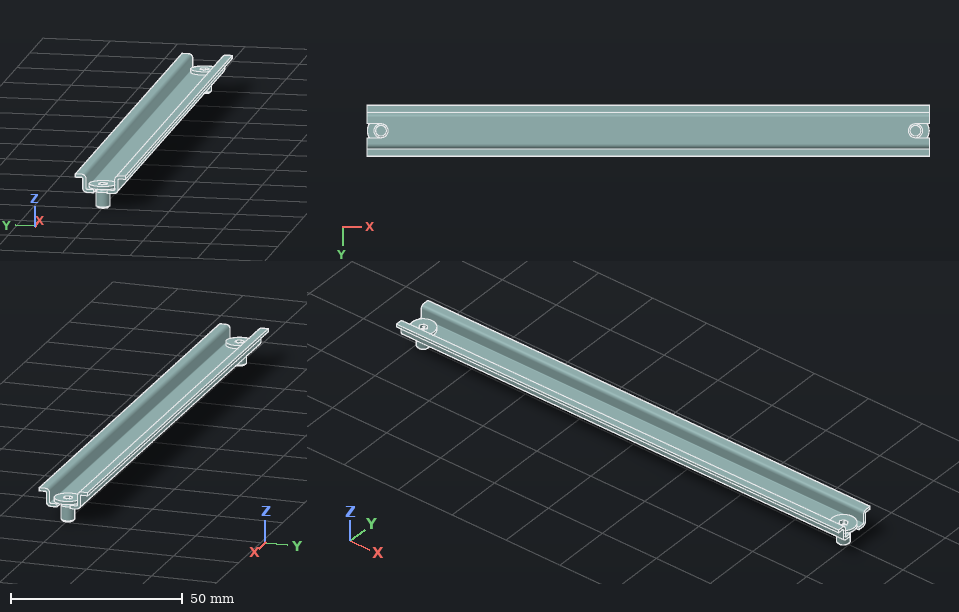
import cadquery as cq

rail_length = 164.0
rail_width = 15.0
rail_height = 5.4
sheet = 1.0
channel_width = 10.5
bend_inner_radius = 0.3
bend_outer_radius = bend_inner_radius + sheet

screw_inset = 4.1
head_diameter = 8.0
head_thickness = 1.0
thread_diameter = 4.1
neck_diameter = 3.3
neck_length = 0.5
screw_length = 6.0
neck_taper_length = 0.8
tip_chamfer = 0.5
socket_across_corners = 2.8
socket_depth = 1.5

half_length = rail_length / 2
screw_x = half_length - screw_inset
slot_width = thread_diameter


def make_profile():
    """Half section of the sheet, from the middle of the floor to the flange edge."""
    outer_wall = channel_width / 2
    inner_wall = outer_wall - sheet
    flange_edge = rail_width / 2
    flange_bottom = rail_height - sheet
    lower_center = (outer_wall - bend_outer_radius, bend_outer_radius)
    upper_center = (inner_wall + bend_outer_radius, rail_height - bend_outer_radius)
    return (
        cq.Workplane("YZ", origin=(-half_length, 0, 0))
        .moveTo(0, 0)
        .lineTo(lower_center[0], 0)
        .radiusArc((outer_wall, lower_center[1]), -bend_outer_radius)
        .lineTo(outer_wall, upper_center[1])
        .radiusArc((upper_center[0], flange_bottom), bend_inner_radius)
        .lineTo(flange_edge, flange_bottom)
        .lineTo(flange_edge, rail_height)
        .lineTo(upper_center[0], rail_height)
        .radiusArc((inner_wall, upper_center[1]), -bend_outer_radius)
        .lineTo(inner_wall, lower_center[1])
        .radiusArc((lower_center[0], sheet), bend_inner_radius)
        .lineTo(0, sheet)
        .close()
    )


def make_end_slot(side):
    """Cutter for a round-bottomed slot, open at the end of the rail on the given side."""
    round_end = cq.Workplane("XY").center(side * screw_x, 0).circle(slot_width / 2).extrude(sheet)
    mouth = (
        cq.Workplane("XY")
        .center(side * (screw_x + screw_inset / 2), 0)
        .rect(screw_inset, slot_width)
        .extrude(sheet)
    )
    return round_end.union(mouth)


def make_rail():
    half_rail = make_profile().extrude(rail_length)
    rail = half_rail.union(half_rail.mirror("XZ"))
    for side in (-1, 1):
        rail = rail.cut(make_end_slot(side))
    return rail


def make_screw(x):
    """Screw at the given X, with its head resting on the rail floor."""
    head_top = sheet + head_thickness
    neck_bottom = sheet - neck_length
    tip = sheet - screw_length
    thread_radius = thread_diameter / 2
    neck_radius = neck_diameter / 2
    screw = (
        cq.Workplane("XZ")
        .polyline([
            (0, tip),
            (thread_radius - tip_chamfer, tip),
            (thread_radius, tip + tip_chamfer),
            (thread_radius, neck_bottom - neck_taper_length),
            (neck_radius, neck_bottom),
            (neck_radius, sheet),
            (head_diameter / 2, sheet),
            (head_diameter / 2, head_top),
            (0, head_top),
        ])
        .close()
        .revolve(360, (0, 0, 0), (0, 1, 0))
    )
    socket = (
        cq.Workplane("XY", origin=(0, 0, head_top - socket_depth))
        .polygon(6, socket_across_corners)
        .extrude(socket_depth)
    )
    return screw.cut(socket).translate((x, 0, 0))


rail = make_rail()
screws = [make_screw(side * screw_x) for side in (-1, 1)]

result = cq.Compound.makeCompound([rail.val(), *[screw.val() for screw in screws]])